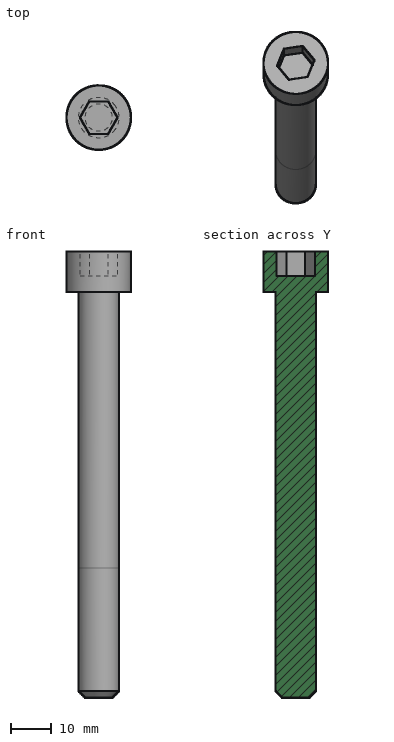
import cadquery as cq
import math

total_length = 110.0
head_diameter = 16.0
head_height = 10.0
shank_diameter = 10.0
thread_length = 32.0
tip_chamfer = 1.6
socket_across_flats = 8.0
socket_depth = 6.0

shank_length = total_length - head_height
plain_length = shank_length - thread_length
socket_across_corners = socket_across_flats / math.cos(math.pi / 6)


def make_head():
    """Cylindrical head, with its underside on the XY plane."""
    return cq.Workplane("XY").circle(head_diameter / 2).extrude(head_height)


def make_plain_shank():
    """Unthreaded part of the shank, below the head."""
    return cq.Workplane("XY").circle(shank_diameter / 2).extrude(-plain_length)


def make_thread():
    """Threaded part as a smooth cylinder with a chamfered tip."""
    thread = (
        cq.Workplane("XY")
        .workplane(offset=-shank_length)
        .circle(shank_diameter / 2)
        .extrude(thread_length)
    )
    return thread.faces("<Z").chamfer(tip_chamfer)


def make_socket():
    """Hexagonal drive socket, with two corners on the X axis."""
    return (
        cq.Workplane("XY")
        .workplane(offset=head_height - socket_depth)
        .polygon(6, socket_across_corners)
        .extrude(socket_depth)
    )


screw = make_head().union(make_plain_shank()).union(make_thread(), clean=False)
result = screw.cut(make_socket(), clean=False)